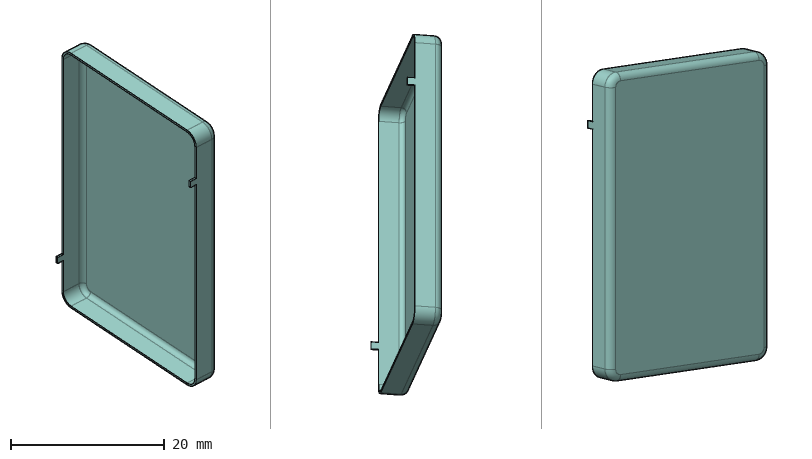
import cadquery as cq

width = 26.4
height = 41.0
total_depth = 4.7
tab_length = 1.0
wall = 0.3
corner_radius = 1.8
floor_fillet = 1.0
tab_width = 1.0
tab_offset = 13.2

body_depth = total_depth - tab_length
rim_y = -total_depth / 2 + tab_length


def rounded_tray(inset):
    """Solid block from the rim to the floor, offset inwards from the outer skin."""
    depth = body_depth - inset
    return (
        cq.Workplane("XY")
        .box(width - 2 * inset, depth, height - 2 * inset)
        .translate((0, rim_y + depth / 2, 0))
        .edges("|Y")
        .fillet(corner_radius - inset)
        .faces(">Y")
        .edges()
        .fillet(floor_fillet - inset)
    )


def tab(side):
    """Small tab that continues a side wall beyond the rim; side is +1 or -1 along X."""
    root = wall
    length = tab_length + root
    return cq.Workplane("XY").box(wall, length, tab_width).translate(
        (side * (width - wall) / 2, rim_y + root - length / 2, side * tab_offset)
    )


result = rounded_tray(0).cut(rounded_tray(wall))

for side in (-1, 1):
    result = result.union(tab(side))